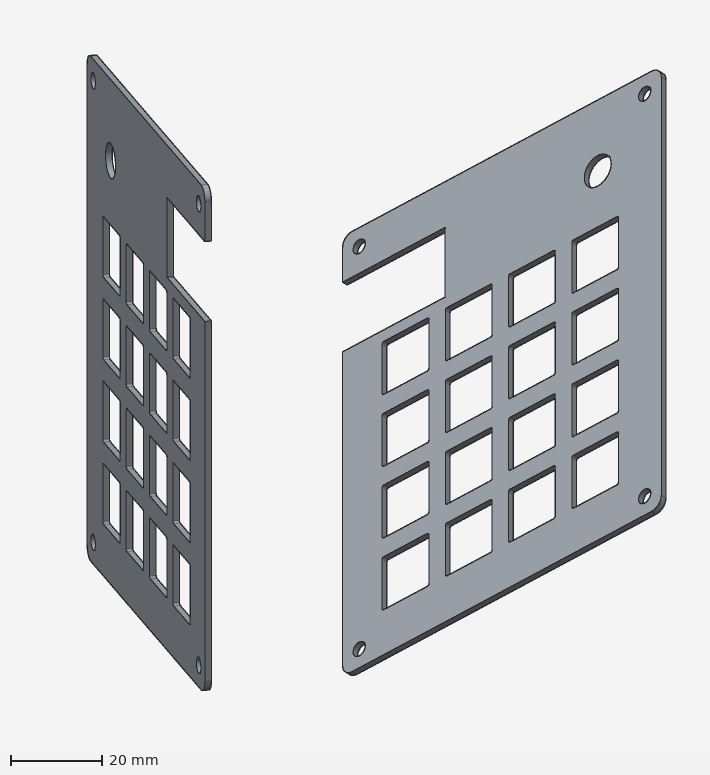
import cadquery as cq

plate_width = 96.2
plate_height = 117.0
plate_thickness = 1.5
corner_radius = 2.9

screw_hole_diameter = 3.6
screw_hole_inset = 5.0

knob_hole_diameter = 8.1
knob_hole_from_left = 19.2
knob_hole_from_top = 18.8

notch_depth = 30.9
notch_height = 18.5
notch_from_top = 12.2

keys_per_side = 4
key_pitch = 19.1
key_opening = 14.0
key_corner_radius = 0.5
key_grid_x = 0.5
key_grid_z = -10.9

half_width = plate_width / 2
half_height = plate_height / 2


def upright_block(width, height, x=0, z=0):
    """Block of plate thickness, centred at (x, z)."""
    return cq.Workplane("XY").box(width, plate_thickness, height).translate((x, 0, z))


def through_hole(diameter, x, z):
    """Cylinder of plate thickness along Y, centred at (x, z)."""
    cylinder = cq.Workplane("XZ").circle(diameter / 2).extrude(plate_thickness / 2, both=True)
    return cylinder.translate((x, 0, z))


plate = upright_block(plate_width, plate_height).edges("|Y").fillet(corner_radius)

screw_x = half_width - screw_hole_inset
screw_z = half_height - screw_hole_inset
for side_x in (-1, 1):
    for side_z in (-1, 1):
        plate = plate.cut(through_hole(screw_hole_diameter, side_x * screw_x, side_z * screw_z))

knob_x = knob_hole_from_left - half_width
knob_z = half_height - knob_hole_from_top
plate = plate.cut(through_hole(knob_hole_diameter, knob_x, knob_z))

notch_x = half_width - notch_depth / 2
notch_z = half_height - notch_from_top - notch_height / 2
plate = plate.cut(upright_block(notch_depth, notch_height, notch_x, notch_z))

key_cutter = upright_block(key_opening, key_opening).edges("|Y").fillet(key_corner_radius)
first_key_x = key_grid_x - key_pitch * (keys_per_side - 1) / 2
first_key_z = key_grid_z - key_pitch * (keys_per_side - 1) / 2
for column in range(keys_per_side):
    for row in range(keys_per_side):
        key_x = first_key_x + column * key_pitch
        key_z = first_key_z + row * key_pitch
        plate = plate.cut(key_cutter.translate((key_x, 0, key_z)))

result = plate